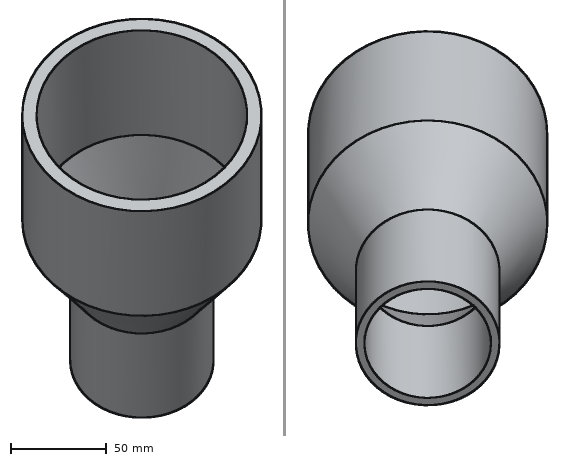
import cadquery as cq

length = 215.0
cone_bottom = 74.0
cone_top = 123.2

large_diameter = 125.0
small_diameter = 75.0
large_wall = 7.5
small_wall = 4.5


def reducer_solid(large_radius, small_radius):
    """Solid of revolution about Z: small cylinder, cone, large cylinder."""
    profile = [
        (0, 0),
        (small_radius, 0),
        (small_radius, cone_bottom),
        (large_radius, cone_top),
        (large_radius, length),
        (0, length),
    ]
    return cq.Workplane("XZ").polyline(profile).close().revolve(360, (0, 0), (0, 1))


body = reducer_solid(large_diameter / 2, small_diameter / 2)
bore = reducer_solid(large_diameter / 2 - large_wall, small_diameter / 2 - small_wall)

result = body.cut(bore)